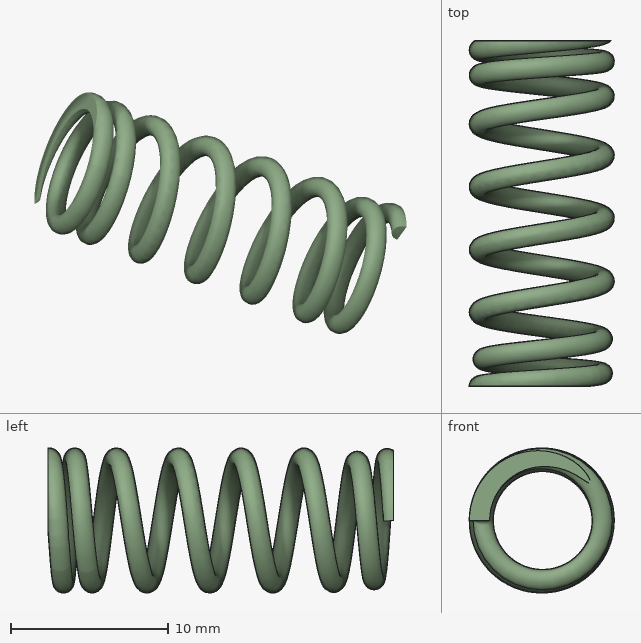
import cadquery as cq
import math

length = 22.0
outer_diameter = 9.25
wire_diameter = 1.3
coil_radius = (outer_diameter - wire_diameter) / 2

turns = 7.5
front_pitch = 1.65
back_pitch = 1.32

front_ramp = (0.7, 2.1)
back_ramp = (1.0, 2.5)

runout = 0.5
runout_turns = 0.75

narrowing = 0.25
narrowed_turns = 2.0

points_per_turn = 16

front_closed_turns = sum(front_ramp) / 2
back_closed_turns = sum(back_ramp) / 2
open_turns = turns - front_closed_turns - back_closed_turns
closed_length = front_pitch * front_closed_turns + back_pitch * back_closed_turns
middle_pitch = (length - closed_length) / open_turns


def ramp_integral(turn, ramp):
    """Integral of a linear rise from 0 to 1 across the ramp, then constant 1."""
    start, end = ramp
    inside = min(max(turn - start, 0), end - start)
    beyond = max(turn - end, 0)
    return inside**2 / (2 * (end - start)) + beyond


def axial_position(turn):
    """Distance of the wire centre along the coil axis."""
    opening = (middle_pitch - front_pitch) * ramp_integral(turn, front_ramp)
    closing_ramp = (turns - back_ramp[1], turns - back_ramp[0])
    closing = (middle_pitch - back_pitch) * ramp_integral(turn, closing_ramp)
    runout_fraction = max(turn - (turns - runout_turns), 0) / runout_turns
    return front_pitch * turn + opening - closing + runout * runout_fraction**2


def radius_at(turn):
    """Wire centre radius, reduced by a smooth dip in the front coils."""
    if turn >= narrowed_turns:
        return coil_radius
    return coil_radius - narrowing * math.sin(math.pi * turn / narrowed_turns) ** 2


def centreline_point(turn):
    """Wire centre, starting on -X and turning towards +Z."""
    angle = 2 * math.pi * turn
    radius = radius_at(turn)
    return cq.Vector(-radius * math.cos(angle), axial_position(turn), radius * math.sin(angle))


def make_wire():
    count = round(turns * points_per_turn)
    stations = [i / points_per_turn for i in range(count + 1)]
    points = [centreline_point(turn) for turn in stations]
    around = 2 * math.pi * coil_radius
    start_tangent = cq.Vector(0, front_pitch, around)
    end_pitch = back_pitch + 2 * runout / runout_turns
    end_tangent = cq.Vector(0, end_pitch, -around)
    path = cq.Edge.makeSpline(
        points, tangents=[start_tangent, end_tangent], parameters=stations, scale=False
    )
    section_plane = cq.Plane(origin=points[0], xDir=(1, 0, 0), normal=start_tangent)
    return cq.Workplane(section_plane).circle(wire_diameter / 2).sweep(cq.Workplane(path))


def grind_ends(spring):
    """Keep only the material between the two flat end planes."""
    width = 2 * outer_diameter
    envelope = cq.Workplane("XY").box(width, length, width, centered=(True, False, True))
    return spring.intersect(envelope)


result = grind_ends(make_wire())